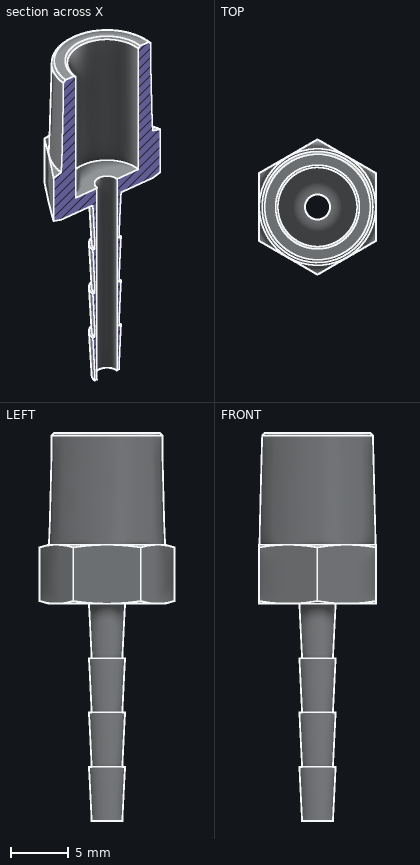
import cadquery as cq
import math

total_length = 34.05
barb_count = 4
barb_length = 4.75
hex_height = 5.17
hex_bottom = barb_count * barb_length
hex_top = hex_bottom + hex_height

hex_across_flats = 10.28
hex_across_corners = hex_across_flats / math.cos(math.radians(30))
hex_chamfer_height = 0.25
hex_face_radius = 5.1

pipe_base_radius = 5.1
pipe_tip_radius = 4.87
pipe_chamfer = 0.25

barb_large_radius = 1.6
barb_small_radius = 1.35

through_diameter = 2.18
bore_mouth_radius = 3.68
bore_inner_radius = 3.47
bore_chamfer = bore_mouth_radius - bore_inner_radius
bore_floor = hex_bottom + 1.7


def revolve_profile(points):
    """Turn a closed (radius, height) outline about the Z axis."""
    return cq.Workplane("XZ").polyline(points).close().revolve(360, (0, 0, 0), (0, 1, 0))


def make_hexagon():
    """Hexagon with two corners on Y, trimmed by a cone at each end."""
    prism = (
        cq.Workplane("XY", origin=(0, 0, hex_bottom))
        .polygon(6, hex_across_corners)
        .extrude(hex_height)
        .rotate((0, 0, 0), (0, 0, 1), 30)
    )
    corner_radius = hex_across_corners / 2
    envelope = revolve_profile([
        (0, hex_bottom),
        (hex_face_radius, hex_bottom),
        (corner_radius, hex_bottom + hex_chamfer_height),
        (corner_radius, hex_top - hex_chamfer_height),
        (hex_face_radius, hex_top),
        (0, hex_top),
    ])
    return prism.intersect(envelope)


def make_pipe_end():
    """Tapered pipe end with a chamfered outer rim."""
    return revolve_profile([
        (0, hex_top),
        (pipe_base_radius, hex_top),
        (pipe_tip_radius, total_length - pipe_chamfer),
        (pipe_tip_radius - pipe_chamfer, total_length),
        (0, total_length),
    ])


def make_barb_stem():
    """Stack of identical cones, each narrowing toward the hose end."""
    points = [(0, 0)]
    for index in range(barb_count):
        points.append((barb_small_radius, index * barb_length))
        points.append((barb_large_radius, (index + 1) * barb_length))
    points.append((0, hex_bottom))
    return revolve_profile(points)


def make_bore():
    """Wide blind bore with a chamfered mouth."""
    return revolve_profile([
        (0, bore_floor),
        (bore_inner_radius, bore_floor),
        (bore_inner_radius, total_length - bore_chamfer),
        (bore_mouth_radius, total_length),
        (0, total_length),
    ])


through_hole = cq.Workplane("XY").circle(through_diameter / 2).extrude(total_length)

body = make_hexagon().union(make_pipe_end()).union(make_barb_stem())
result = body.cut(make_bore()).cut(through_hole)